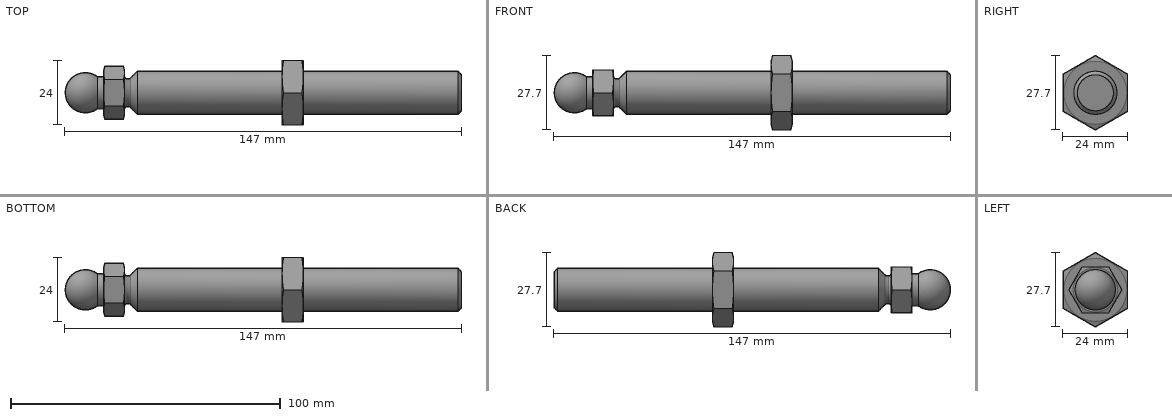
import cadquery as cq
import math

total_length = 147.0
ball_diameter = 15.0
neck_diameter = 12.0
rod_diameter = 16.0
rod_end_chamfer = 1.3

collar_start = 14.3
collar_length = 7.8
collar_flats = 17.0

nut_start = 80.4
nut_length = 8.0
nut_flats = 24.0

corner_chamfer_angle = 15.0
face_circle_inset = 0.6

groove_diameter = 10.5
groove_fillet = 0.9
rod_start = 26.8

ball_radius = ball_diameter / 2
neck_radius = neck_diameter / 2
rod_radius = rod_diameter / 2
groove_radius = groove_diameter / 2
collar_end = collar_start + collar_length


def turned_core():
    """Ball, neck, groove and rod revolved as one profile about X."""
    neck_start = ball_radius + math.sqrt(ball_radius**2 - neck_radius**2)
    runout_foot = rod_start - (rod_radius - groove_radius)
    runout_tangent = groove_fillet * math.tan(math.pi / 8)
    runout_rise = runout_tangent * math.sqrt(0.5)
    runout_centre = runout_foot - runout_tangent
    runout_mid = (
        runout_centre + groove_fillet * math.sin(math.pi / 8),
        groove_radius + groove_fillet * (1 - math.cos(math.pi / 8)),
    )
    fillet_mid = groove_fillet * (1 - math.sqrt(0.5))
    profile = (
        cq.Workplane("XY")
        .moveTo(0, 0)
        .threePointArc((ball_radius, ball_radius), (neck_start, neck_radius))
        .lineTo(collar_end, neck_radius)
        .lineTo(collar_end, groove_radius + groove_fillet)
        .threePointArc(
            (collar_end + fillet_mid, groove_radius + fillet_mid),
            (collar_end + groove_fillet, groove_radius),
        )
        .lineTo(runout_centre, groove_radius)
        .threePointArc(runout_mid, (runout_foot + runout_rise, groove_radius + runout_rise))
        .lineTo(rod_start, rod_radius)
        .lineTo(total_length - rod_end_chamfer, rod_radius)
        .lineTo(total_length, rod_radius - rod_end_chamfer)
        .lineTo(total_length, 0)
        .close()
    )
    return profile.revolve(360, (0, 0, 0), (1, 0, 0))


def chamfered_hexagon(start, length, flats, turn):
    """Hexagonal prism along X with coned corners; zero turn puts corners on Y."""
    corner_radius = flats / 2 / math.cos(math.pi / 6)
    face_radius = flats / 2 - face_circle_inset / 2
    cone_depth = (corner_radius - face_radius) * math.tan(math.radians(corner_chamfer_angle))
    end = start + length
    prism = (
        cq.Workplane("YZ", origin=(start, 0, 0))
        .polygon(6, 2 * corner_radius)
        .extrude(length)
        .rotate((0, 0, 0), (1, 0, 0), turn)
    )
    envelope = (
        cq.Workplane("XY")
        .polyline([
            (start, 0),
            (start, face_radius),
            (start + cone_depth, corner_radius),
            (end - cone_depth, corner_radius),
            (end, face_radius),
            (end, 0),
        ])
        .close()
        .revolve(360, (0, 0, 0), (1, 0, 0))
    )
    return prism.intersect(envelope)


collar = chamfered_hexagon(collar_start, collar_length, collar_flats, 0)
nut = chamfered_hexagon(nut_start, nut_length, nut_flats, 30)
result = turned_core().union(collar).union(nut)